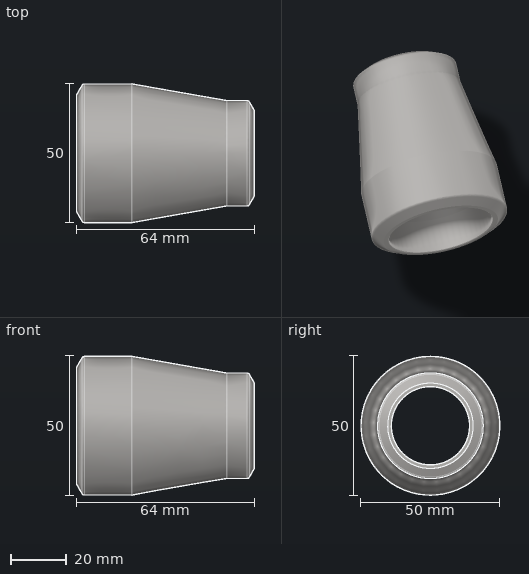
import cadquery as cq
import math

length = 64.0
large_radius = 50.0 / 2
small_radius = 38.0 / 2
large_bore_radius = 19.1
small_bore_radius = 28.0 / 2

cone_start = 20.0
bore_cone_start = 12.2
cone_end = 54.0

large_face_radius = 21.0
small_face_radius = 15.35
bevel_angle = math.radians(30)

edge_radius = 1.0

bore_edge_break = 0.2

large_bevel_depth = (large_radius - large_face_radius) * math.tan(bevel_angle)
small_bevel_depth = (small_radius - small_face_radius) * math.tan(bevel_angle)


def revolve_about_x(points):
    """Revolve a closed (axial position, radius) outline about the X axis."""
    outline = cq.Workplane("XZ").polyline(points).close()
    return outline.revolve(360, (0, 0, 0), (1, 0, 0))


def make_body():
    """Solid outside shape with rounded bevel and transition edges."""
    small_bevel_start = length - small_bevel_depth
    body = revolve_about_x([
        (0, 0),
        (0, large_face_radius),
        (large_bevel_depth, large_radius),
        (cone_start, large_radius),
        (cone_end, small_radius),
        (small_bevel_start, small_radius),
        (length, small_face_radius),
        (length, 0),
    ])
    half_slab = 0.05
    reach = large_radius + 0.65
    for position in (large_bevel_depth, cone_start, cone_end, small_bevel_start):
        edge = cq.selectors.BoxSelector(
            (position - half_slab, -reach, -reach),
            (position + half_slab, reach, reach),
            boundingbox=True,
        )
        body = body.edges(edge).fillet(edge_radius)
    return body


def make_bore():
    """Through bore that narrows along the conical transition."""
    return revolve_about_x([
        (0, 0),
        (0, large_bore_radius + bore_edge_break),
        (bore_edge_break, large_bore_radius),
        (bore_cone_start, large_bore_radius),
        (cone_end, small_bore_radius),
        (length, small_bore_radius),
        (length, 0),
    ])


result = make_body().cut(make_bore())